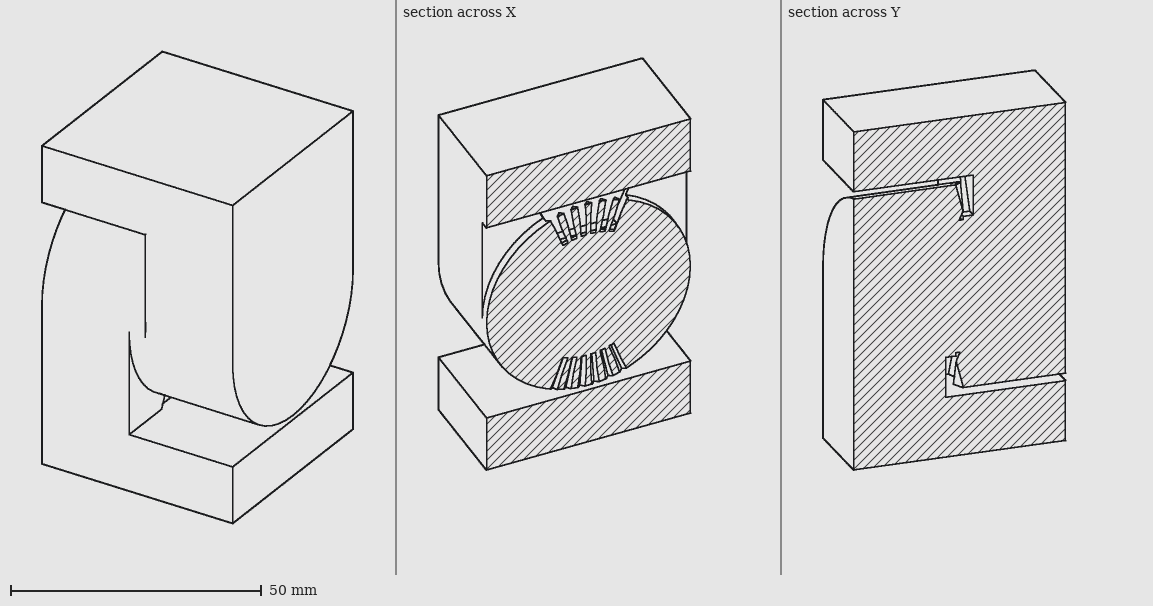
import math

import cadquery as cq

width = 45.0
height = 73.0
clearance = 1.0

half_width = width / 2
half_height = height / 2
pivot_radius = half_width
slot_reach = pivot_radius + clearance

tooth_height = 1.5
tooth_crest = tooth_height / 2
wall_offset = 1.9

window_half_angle = 23.8
teeth_in_window = 6
tooth_pitch = 2 * window_half_angle / teeth_in_window
window_inner_radius = 15.0
wall_recess_depth = 1.0


def box_between(x_min, x_max, z_min, z_max):
    """Full-width block between two X and two Z positions."""
    box = cq.Workplane("XY").box(x_max - x_min, width, z_max - z_min, centered=(False, True, False))
    return box.translate((x_min, 0, z_min))


def hinge_half():
    """Lower half: base plate, upright cheek and the round end on the pivot axis."""
    base = box_between(-half_width, half_width, -half_height, -slot_reach)
    cheek = box_between(-half_width, -wall_offset, -half_height, 0)
    round_end = cq.Workplane("YZ", origin=(-half_width, 0, 0)).circle(pivot_radius)
    round_end = round_end.extrude(half_width + wall_offset)
    return base.union(cheek).union(round_end)


def clear_window():
    """Fan-shaped gap from the tooth crests into the slot wall, ending at the slot face above."""
    spread = math.tan(math.radians(window_half_angle))
    inner_y = window_inner_radius * spread
    outer_y = slot_reach * spread
    fan = [
        (-inner_y, window_inner_radius),
        (inner_y, window_inner_radius),
        (outer_y, slot_reach),
        (-outer_y, slot_reach),
    ]
    depth = wall_offset - tooth_crest + wall_recess_depth
    return cq.Workplane("YZ", origin=(tooth_crest, 0, 0)).polyline(fan).close().extrude(depth)


def tooth_groove(angle):
    """Radial V groove between two crests, turned about the pivot axis from straight up."""
    half_pitch = math.radians(tooth_pitch / 2)
    outer_opening = pivot_radius * math.tan(half_pitch)
    inner_opening = window_inner_radius * math.tan(half_pitch)

    def v_section(opening):
        return [(tooth_crest, -opening), (tooth_crest, opening), (-tooth_crest, 0)]

    groove = (
        cq.Workplane("XY", origin=(0, 0, window_inner_radius))
        .polyline(v_section(inner_opening))
        .close()
        .workplane(offset=pivot_radius - window_inner_radius)
        .polyline(v_section(outer_opening))
        .close()
        .loft(ruled=True)
    )
    return groove.rotate((0, 0, 0), (1, 0, 0), angle)


def tooth_window():
    """Everything removed at one window: the clear gap and the grooves between the teeth."""
    window = clear_window()
    for index in range(teeth_in_window):
        angle = (index + 0.5) * tooth_pitch - window_half_angle
        window = window.union(tooth_groove(angle))
    return window


def half_turn(shape):
    """Turn a shape upside down about the Y axis, which maps one hinge half onto the other."""
    return shape.rotate((0, 0, 0), (0, 1, 0), 180)


lower_half = hinge_half()
upper_window = tooth_window()

result = lower_half.union(half_turn(lower_half))
result = result.cut(upper_window).cut(half_turn(upper_window))